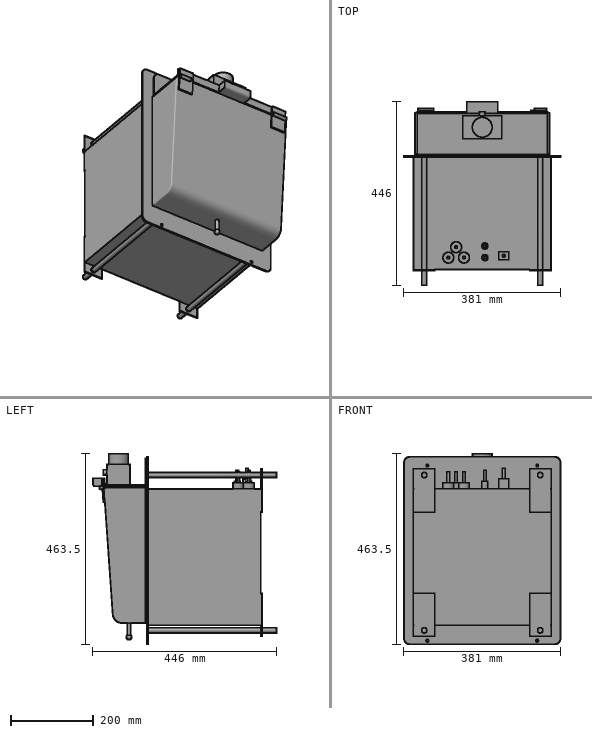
import cadquery as cq
import math


PANEL_WIDTH = 381.0
PANEL_HEIGHT = 456.0
PANEL_THICKNESS = 3.5
PANEL_BACK_Y = 311.5
PANEL_FRONT_Y = PANEL_BACK_Y + PANEL_THICKNESS
PANEL_CORNER_RADIUS = 14
SCREW_HOLE_DIAMETER = 5.5
SCREW_HOLE_X = 133.5
SCREW_HOLE_EDGE_TOP = 21.5
SCREW_HOLE_EDGE_BOTTOM = 9.0

CASE_WIDTH = 335.5
CASE_BACK_Y = 38.0
CASE_BOTTOM_Z = 46.0
CASE_TOP_Z = 378.0
CLAMP_WIDTH = 52.5
CLAMP_HEIGHT = 104.5
CLAMP_THICKNESS = 3.0
CLAMP_X = (CASE_WIDTH - CLAMP_WIDTH) / 2
UPPER_CLAMP_TOP_Z = 426
LOWER_CLAMP_BOTTOM_Z = 19.0
ROD_DIAMETER = 13.0
ROD_X = 141.0
ROD_EDGE_DISTANCE = 15.0

STEM_DIAMETER = 6.5
STEM_LENGTH = 26.0
CONNECTOR_REAR_Y = 67.0
DRUM_DIAMETER = 26.5
DRUM_HEIGHT = 15.0
DRUM_PLACES = [(-82.5, CONNECTOR_REAR_Y), (-44.5, CONNECTOR_REAR_Y), (-63.5, 92.5)]
SOCKET_DIAMETER = 15.0
SOCKET_HEIGHT = 18.5
SOCKET_PLACES = [(6.5, CONNECTOR_REAR_Y), (6.5, 95.5)]
PLUG_WIDTH = 24.5
PLUG_DEPTH = 19.5
PLUG_HEIGHT = 24.0
PLUG_PLACE = (52.5, 72.0)

SHEET_WIDTH = 317.0
SHEET_THICKNESS = 3.5
SHEET_BOTTOM_Z = 383.5
SHEET_TOP_Z = SHEET_BOTTOM_Z + SHEET_THICKNESS
REAR_LIP_FRONT_Y = PANEL_FRONT_Y + SHEET_THICKNESS
REAR_LIP_TOP_Z = 452.0
FRONT_LIP_TOP_Z = 404.0
SHEET_BEND_RADIUS = 3.2

FRONT_TOP_Y = 421.5
FRONT_TILT = 4

BOX_WIDTH = 95.5
BOX_BACK_Y = 356.0
BOX_FRONT_Y = 412.5
BOX_TOP_Z = 437.5
CAP_DIAMETER = 48.0
CAP_TOP_Z = 463.5
BUTTON_DIAMETER = 14
BUTTON_LENGTH = 9.3
BUTTON_Z = 418.0
HANDLE_WIDTH = 76.5
HANDLE_FRONT_Y = 446.0
HANDLE_EDGE_RADIUS = 5.5

FLAP_WIDTH = 328.0
FLAP_GAP = 3.5
FLAP_BACK_Y = PANEL_FRONT_Y + FLAP_GAP
FLAP_TOP_Z = 381.0
FLAP_BOTTOM_Z = 51.5
FLAP_CORNER_RADIUS = 23
FLAP_EDGE_RADIUS = 3.2
PULL_Y = 358.5
PULL_DIAMETER = 9.3
BALL_DIAMETER = 13.5
BALL_Z = 17.5

HINGE_WIDTH = 39.0
HINGE_OUTER_X = 156.5
HINGE_LEAF_THICKNESS = 3.5
HINGE_BOTTOM_Z = 344.5
BARREL_DIAMETER = 9.3
BARREL_Y = 426
BARREL_Z = 381.0
KNUCKLE_LENGTH = 9.3


def block(x_limits, y_limits, z_limits):
    """Box between the given limits along X, Y and Z."""
    sizes = [high - low for low, high in (x_limits, y_limits, z_limits)]
    corner = (x_limits[0], y_limits[0], z_limits[0])
    return cq.Workplane("XY").box(*sizes, centered=False).translate(corner)


def centred_block(width, y_limits, z_limits):
    """Box centred on X = 0."""
    return block((-width / 2, width / 2), y_limits, z_limits)


def upright_cylinder(place, diameter, bottom_z, height):
    """Cylinder standing on bottom_z at an (x, y) place."""
    return cq.Workplane("XY", origin=(*place, bottom_z)).circle(diameter / 2).extrude(height)


def prism(points, width):
    """Outline of (y, z) points extruded along X, centred on X = 0."""
    return cq.Workplane("YZ").polyline(points).close().extrude(width / 2, both=True)


def front_y(z, offset=0):
    """Y of the leaning front plane at height z, moved forward along its normal by offset."""
    tilt = math.radians(FRONT_TILT)
    return FRONT_TOP_Y - (FRONT_LIP_TOP_Z - z) * math.tan(tilt) + offset / math.cos(tilt)


def connector(body, place, body_height):
    """Connector body with a thin stem on top."""
    return body.union(upright_cylinder(place, STEM_DIAMETER, CASE_TOP_Z, body_height + STEM_LENGTH))


def make_connectors():
    connectors = []
    for place in DRUM_PLACES:
        drum = upright_cylinder(place, DRUM_DIAMETER, CASE_TOP_Z, DRUM_HEIGHT)
        connectors.append(connector(drum, place, DRUM_HEIGHT))
    for place in SOCKET_PLACES:
        socket = upright_cylinder(place, SOCKET_DIAMETER, CASE_TOP_Z, SOCKET_HEIGHT)
        connectors.append(connector(socket, place, SOCKET_HEIGHT))
    plug = (
        cq.Workplane("XY", origin=(*PLUG_PLACE, CASE_TOP_Z))
        .rect(PLUG_WIDTH, PLUG_DEPTH)
        .extrude(PLUG_HEIGHT)
    )
    connectors.append(connector(plug, PLUG_PLACE, PLUG_HEIGHT))
    return connectors


def make_panel():
    panel = centred_block(PANEL_WIDTH, (PANEL_BACK_Y, PANEL_FRONT_Y), (0, PANEL_HEIGHT))
    panel = panel.edges("|Y").fillet(PANEL_CORNER_RADIUS)
    hole_places = [
        (side * SCREW_HOLE_X, z)
        for side in (-1, 1)
        for z in (SCREW_HOLE_EDGE_BOTTOM, PANEL_HEIGHT - SCREW_HOLE_EDGE_TOP)
    ]
    holes = (
        cq.Workplane("XZ", origin=(0, PANEL_FRONT_Y, 0))
        .pushPoints(hole_places)
        .circle(SCREW_HOLE_DIAMETER / 2)
        .extrude(PANEL_THICKNESS)
    )
    return panel.cut(holes)


def make_clamp(side, bottom_z, rod_z):
    """Clamp plate behind a case corner with the rod that ties it to the panel."""
    x = side * CLAMP_X
    plate = block(
        (x - CLAMP_WIDTH / 2, x + CLAMP_WIDTH / 2),
        (CASE_BACK_Y - CLAMP_THICKNESS, CASE_BACK_Y),
        (bottom_z, bottom_z + CLAMP_HEIGHT),
    )
    rod = (
        cq.Workplane("XZ", origin=(side * ROD_X, PANEL_BACK_Y, rod_z))
        .circle(ROD_DIAMETER / 2)
        .extrude(PANEL_BACK_Y)
    )
    return plate.union(rod)


def make_housing():
    """Panel, rear case, clamps with rods, and connectors."""
    housing = make_panel()
    housing = housing.union(
        centred_block(CASE_WIDTH, (CASE_BACK_Y, PANEL_BACK_Y), (CASE_BOTTOM_Z, CASE_TOP_Z))
    )
    for side in (-1, 1):
        upper_bottom_z = UPPER_CLAMP_TOP_Z - CLAMP_HEIGHT
        housing = housing.union(make_clamp(side, upper_bottom_z, UPPER_CLAMP_TOP_Z - ROD_EDGE_DISTANCE))
        lower_rod_z = LOWER_CLAMP_BOTTOM_Z + ROD_EDGE_DISTANCE
        housing = housing.union(make_clamp(side, LOWER_CLAMP_BOTTOM_Z, lower_rod_z))
    for part in make_connectors():
        housing = housing.union(part)
    return housing


def make_sheet():
    """Bent sheet: tall rear lip on the panel, flat shelf and leaning front lip."""
    rear_lip = centred_block(
        SHEET_WIDTH,
        (PANEL_FRONT_Y, REAR_LIP_FRONT_Y),
        (SHEET_BOTTOM_Z, REAR_LIP_TOP_Z),
    )
    rear_lip = rear_lip.edges("|Y and >Z").fillet(PANEL_CORNER_RADIUS)
    front_lip_back_y = front_y(SHEET_TOP_Z, -SHEET_THICKNESS)
    shelf_and_front_lip = prism(
        [
            (PANEL_FRONT_Y, SHEET_BOTTOM_Z),
            (front_y(SHEET_BOTTOM_Z), SHEET_BOTTOM_Z),
            (front_y(FRONT_LIP_TOP_Z), FRONT_LIP_TOP_Z),
            (front_y(FRONT_LIP_TOP_Z, -SHEET_THICKNESS), FRONT_LIP_TOP_Z),
            (front_lip_back_y, SHEET_TOP_Z),
            (PANEL_FRONT_Y, SHEET_TOP_Z),
        ],
        SHEET_WIDTH,
    )
    sheet = shelf_and_front_lip.union(rear_lip)
    for bend_y in (REAR_LIP_FRONT_Y, front_lip_back_y):
        bend = cq.selectors.NearestToPointSelector((0, bend_y, SHEET_TOP_Z))
        sheet = sheet.edges(bend).fillet(SHEET_BEND_RADIUS)
    return sheet


def make_handle():
    """Block on the front lip with a rounded lower front edge."""
    handle = prism(
        [
            (front_y(SHEET_BOTTOM_Z), SHEET_BOTTOM_Z),
            (HANDLE_FRONT_Y, SHEET_BOTTOM_Z),
            (HANDLE_FRONT_Y, FRONT_LIP_TOP_Z),
            (front_y(FRONT_LIP_TOP_Z), FRONT_LIP_TOP_Z),
        ],
        HANDLE_WIDTH,
    )
    return handle.faces(">Y").edges("<Z").fillet(HANDLE_EDGE_RADIUS)


def make_bracket():
    """Sheet with the handle, and the box with its cap and button."""
    box = centred_block(BOX_WIDTH, (BOX_BACK_Y, BOX_FRONT_Y), (SHEET_TOP_Z, BOX_TOP_Z))
    cap_place = (0, (BOX_BACK_Y + BOX_FRONT_Y) / 2)
    cap = upright_cylinder(cap_place, CAP_DIAMETER, BOX_TOP_Z, CAP_TOP_Z - BOX_TOP_Z)
    button = (
        cq.Workplane("XZ", origin=(0, BOX_FRONT_Y + BUTTON_LENGTH, BUTTON_Z))
        .circle(BUTTON_DIAMETER / 2)
        .extrude(BUTTON_LENGTH)
    )
    return make_sheet().union(make_handle()).union(box).union(cap).union(button)


def make_flap():
    """Tapered flap with rounded side edges and a ball-ended pull below."""
    flap = prism(
        [
            (FLAP_BACK_Y, FLAP_BOTTOM_Z),
            (front_y(FLAP_BOTTOM_Z), FLAP_BOTTOM_Z),
            (front_y(FLAP_TOP_Z), FLAP_TOP_Z),
            (FLAP_BACK_Y, FLAP_TOP_Z),
        ],
        FLAP_WIDTH,
    )
    lower_front = cq.selectors.NearestToPointSelector((0, front_y(FLAP_BOTTOM_Z), FLAP_BOTTOM_Z))
    flap = flap.edges(lower_front).fillet(FLAP_CORNER_RADIUS)
    flap = flap.faces("<X or >X").edges("not <Y").fillet(FLAP_EDGE_RADIUS)
    pull = upright_cylinder((0, PULL_Y), PULL_DIAMETER, BALL_Z, FLAP_BOTTOM_Z - BALL_Z)
    ball = cq.Workplane("XY", origin=(0, PULL_Y, BALL_Z)).sphere(BALL_DIAMETER / 2)
    return flap.union(pull).union(ball)


def make_hinge(side, barrel_length):
    """Flat leaf bridging the front lip and the flap, with a barrel that starts at its outer end."""
    leaf = prism(
        [
            (front_y(HINGE_BOTTOM_Z), HINGE_BOTTOM_Z),
            (front_y(HINGE_BOTTOM_Z, HINGE_LEAF_THICKNESS), HINGE_BOTTOM_Z),
            (front_y(FRONT_LIP_TOP_Z, HINGE_LEAF_THICKNESS), FRONT_LIP_TOP_Z),
            (front_y(FRONT_LIP_TOP_Z), FRONT_LIP_TOP_Z),
        ],
        HINGE_WIDTH,
    ).translate((side * (HINGE_OUTER_X - HINGE_WIDTH / 2), 0, 0))
    barrel = (
        cq.Workplane("YZ", origin=(side * HINGE_OUTER_X, BARREL_Y, BARREL_Z))
        .circle(BARREL_DIAMETER / 2)
        .extrude(-side * barrel_length)
    )
    return leaf.union(barrel)


housing = make_housing()
bracket = make_bracket()
flap = make_flap()
hinges = [
    make_hinge(side, barrel_length)
    for side, barrel_length in ((-1, HINGE_WIDTH), (1, HINGE_WIDTH - KNUCKLE_LENGTH))
]

result = cq.Compound.makeCompound(
    [housing.val(), bracket.val(), flap.val(), *[hinge.val() for hinge in hinges]]
)